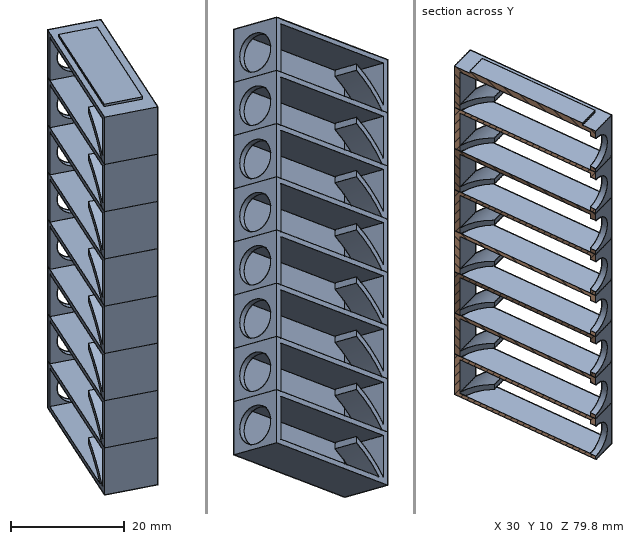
import cadquery as cq
import math

LENGTH = 30.0
DEPTH = 10.0
TOTAL_HEIGHT = 79.8
STOREY_COUNT = 8

PAD_HEIGHT = 0.5
PAD_LENGTH = 23.95
PAD_DEPTH = 7.2
PAD_OFFSET_X = -0.2
PAD_OFFSET_Y = -0.3

STOREY_HEIGHT = (TOTAL_HEIGHT - PAD_HEIGHT) / STOREY_COUNT
SIDE_WALL = 1.2
BACK_WALL = 0.95
SLAB = 0.95

HOLE_DIAMETER = 7.2
HOLE_HEIGHT = 4.5

FIN_RADIUS = 23.95
FIN_THICKNESS = 1.0
FIN_TIP_X = 21.55
FIN_TIP_HEIGHT = 6.9
FIN_ROOT_HEIGHT = 1.2
FIN_DEPTH = DEPTH / 2

INNER_RIGHT = LENGTH - SIDE_WALL


def block(x_min, x_max, y_min, y_max, z_min, z_max):
    """Box given by its limits along each axis."""
    return (
        cq.Workplane("XY")
        .box(x_max - x_min, y_max - y_min, z_max - z_min, centered=False)
        .translate((x_min, y_min, z_min))
    )


def make_shell(floor_thickness):
    """Box open at the front, with a floor only if floor_thickness is above zero."""
    outside = block(0, LENGTH, 0, DEPTH, 0, STOREY_HEIGHT)
    cavity = block(
        SIDE_WALL, INNER_RIGHT, 0, DEPTH - BACK_WALL, floor_thickness, STOREY_HEIGHT - SLAB
    )
    return outside.cut(cavity)


def make_hole():
    """Cylinder along X that pierces the left wall."""
    return (
        cq.Workplane("YZ")
        .center(DEPTH / 2, HOLE_HEIGHT)
        .circle(HOLE_DIAMETER / 2)
        .extrude(SIDE_WALL)
    )


def make_fin():
    """Part of a ring about a Y axis, between the fin tip and the right wall."""
    run = INNER_RIGHT - FIN_TIP_X
    drop = FIN_TIP_HEIGHT - FIN_ROOT_HEIGHT
    chord = math.hypot(run, drop)
    centre_distance = math.sqrt(FIN_RADIUS**2 - (chord / 2) ** 2)
    centre_x = FIN_TIP_X + run / 2 - centre_distance * drop / chord
    centre_z = FIN_ROOT_HEIGHT + drop / 2 - centre_distance * run / chord
    ring = (
        cq.Workplane("XZ")
        .center(centre_x, centre_z)
        .circle(FIN_RADIUS)
        .circle(FIN_RADIUS - FIN_THICKNESS)
        .extrude(-FIN_DEPTH)
    )
    kept = block(FIN_TIP_X, LENGTH - SIDE_WALL / 2, 0, FIN_DEPTH, 0, STOREY_HEIGHT)
    return ring.intersect(kept)


def make_label_pad():
    """Plain raised pad on the top face, in place of lettering."""
    return (
        cq.Workplane("XY")
        .box(PAD_LENGTH, PAD_DEPTH, PAD_HEIGHT, centered=(True, True, False))
        .translate((LENGTH / 2 + PAD_OFFSET_X, DEPTH / 2 + PAD_OFFSET_Y, STOREY_HEIGHT))
    )


def make_storey(index):
    """One storey; the lowest one has a floor and the highest one the label pad."""
    is_lowest = index == 0
    is_highest = index == STOREY_COUNT - 1
    storey = make_shell(SLAB if is_lowest else 0).cut(make_hole()).union(make_fin())
    if is_highest:
        storey = storey.union(make_label_pad())
    return storey.translate((0, 0, index * STOREY_HEIGHT))


storeys = [make_storey(index) for index in range(STOREY_COUNT)]

result = cq.Compound.makeCompound([storey.val() for storey in storeys])